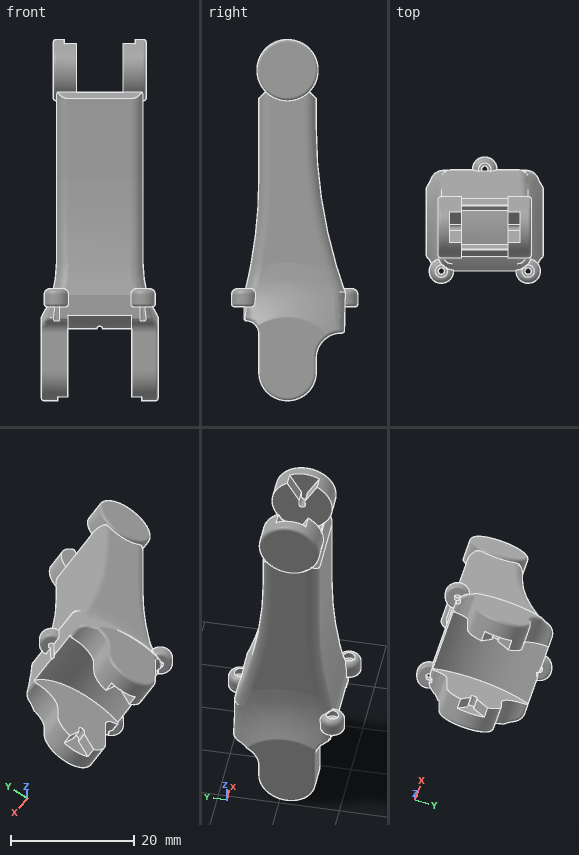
import cadquery as cq
import math

leg_radius = 4.7
disc_radius = 5.0
overall_height = 58.65
lower_pivot_z = leg_radius
upper_pivot_z = overall_height - disc_radius
leg_outer_x = 9.5
leg_inner_x = 5.15
disc_outer_x = 7.55
disc_inner_x = 3.75
edge_fillet = 0.5
tolerance = 0.005

neck_half_x = 7.05
neck_half_y = 4.7
neck_top_z = 50.1
neck_chamfer = 1.05
corner_fillet = 2.0
rear_y = 9.4
rear_taper = 0.1
rear_bottom_z = 10.95
rear_flare_start_z = 44.3
rear_flare_end_z = 17.6
rear_notch_radius = 4.0
front_y = 7.1
front_flare_start_z = 35.8
front_flare_end_z = 17.1
front_notch_radius = 2.0
front_bottom_z = 12.95

flare_inner_radius = 8.9
flare_outer_radius = 17.7

crotch_radius = 11.6
pocket_half_y = 2.75
pocket_floor_radius = 14.65

slot_hole_diameter = 1.0
slot_half_angle = 30.0
upper_slot_depth = 2.0
lower_slot_depth = 1.65
slot_straight = 0.95

knob_diameter = 4.0
knob_bottom_z = 15.25
knob_height = 3.0
knob_top_z = knob_bottom_z + knob_height
knob_top_fillet = 1.0
knob_bottom_fillet = 0.5
knob_bore_diameter = 1.0
knob_counterbore_diameter = 2.0
knob_counterbore_depth = 1.2
front_knob_x = 7.05
front_knob_y = -7.1
rear_knob_y = 9.45


def x_cylinder(radius, x_from, x_to, z):
    """Cylinder along X, centred on Y = 0 at height z."""
    return cq.Workplane("YZ", origin=(x_from, 0, z)).circle(radius).extrude(x_to - x_from)


def flare_middle(y_neck, z_neck, y_end, z_end):
    """Middle point of an arc that leaves the straight neck tangentially and widens downwards."""
    drop = z_neck - z_end
    widening = y_end - y_neck
    radius = (drop**2 + widening**2) / (2 * widening)
    half_angle = math.asin(drop / abs(radius)) / 2
    return (
        y_neck + radius * (1 - math.cos(half_angle)),
        z_neck - abs(radius) * math.sin(half_angle),
    )


def side_outline():
    rear_middle = flare_middle(neck_half_y, rear_flare_start_z, rear_y, rear_flare_end_z)
    front_middle = flare_middle(-neck_half_y, front_flare_start_z, -front_y, front_flare_end_z)
    return (
        cq.Workplane("YZ")
        .moveTo(-neck_half_y, neck_top_z)
        .lineTo(neck_half_y, neck_top_z)
        .lineTo(neck_half_y, rear_flare_start_z)
        .threePointArc(rear_middle, (rear_y, rear_flare_end_z))
        .lineTo(rear_y - rear_taper, rear_bottom_z)
        .lineTo(leg_radius + rear_notch_radius, rear_bottom_z)
        .tangentArcPoint((leg_radius, rear_bottom_z - rear_notch_radius), relative=False)
        .lineTo(leg_radius, lower_pivot_z)
        .threePointArc((0, 0), (-leg_radius, lower_pivot_z))
        .lineTo(-leg_radius, front_bottom_z - front_notch_radius)
        .tangentArcPoint((-leg_radius - front_notch_radius, front_bottom_z), relative=False)
        .lineTo(-front_y, front_bottom_z)
        .lineTo(-front_y, front_flare_end_z)
        .threePointArc(front_middle, (-neck_half_y, front_flare_start_z))
        .close()
    )


def side_envelope():
    """Solid of revolution about the lower pivot that narrows from the legs to the neck."""
    reach = overall_height
    run = flare_outer_radius - flare_inner_radius
    rise = leg_outer_x - neck_half_x
    arc_radius = (run**2 + rise**2) / (2 * rise)
    half_angle = math.asin(run / arc_radius) / 2
    middle_z = flare_outer_radius - arc_radius * math.sin(half_angle)
    middle_x = neck_half_x + arc_radius * (1 - math.cos(half_angle))
    half = (
        cq.Workplane("XZ", origin=(0, 0, lower_pivot_z))
        .moveTo(0, 0)
        .lineTo(leg_outer_x, 0)
        .lineTo(leg_outer_x, flare_inner_radius)
        .threePointArc((middle_x, middle_z), (neck_half_x, flare_outer_radius))
        .lineTo(neck_half_x, reach)
        .lineTo(0, reach)
        .close()
        .revolve(360, (0, 0, 0), (1, 0, 0))
    )
    return half.union(half.mirror("YZ"))


def is_shaft_corner(edge):
    """Long edges between the flat sides of the shaft and its front and rear faces."""
    centre = edge.Center()
    crosses_body = edge.BoundingBox().ylen > neck_half_y
    beside_body = abs(centre.x) >= neck_half_x - tolerance
    return beside_body and not crosses_body and front_bottom_z + edge_fillet < centre.z < neck_top_z


def is_leg_rim(edge):
    """Outer rims of the legs, with the short edges that lead from them under the flare."""
    box = edge.BoundingBox()
    one_sided = box.xmin * box.xmax > 0
    beside_body = min(abs(box.xmin), abs(box.xmax)) > neck_half_x + corner_fillet - 2 * edge_fillet
    return one_sided and beside_body and box.zmax < flare_inner_radius + lower_pivot_z + tolerance


def link_form():
    """Shaft, flare and legs in one rounded piece, before any cut."""
    form = side_outline().extrude(leg_outer_x, both=True).intersect(side_envelope())
    form = form.edges().filter(is_shaft_corner).fillet(corner_fillet)
    return form.edges().filter(is_leg_rim).fillet(edge_fillet)


def neck_chamfer_cutters():
    """Wedges that bevel the front and rear edges of the neck top."""
    wedge = (
        cq.Workplane("YZ")
        .moveTo(neck_half_y, neck_top_z)
        .lineTo(neck_half_y - neck_chamfer, neck_top_z)
        .lineTo(neck_half_y, neck_top_z - neck_chamfer)
        .close()
        .extrude(neck_half_x, both=True)
    )
    return wedge.union(wedge.mirror("XZ"))


def disc():
    """Upper hinge disc on the +X side."""
    blank = x_cylinder(disc_radius, disc_inner_x, disc_outer_x, upper_pivot_z)
    return blank.faces(">X").edges().fillet(edge_fillet)


def snap_slot(inner_x, depth, pivot_z, direction):
    """Round pivot seat on the +X side with a V mouth that opens upwards (1) or downwards (-1)."""
    seat_radius = slot_hole_diameter / 2
    mouth_start = slot_straight
    mouth_end = 2 * disc_radius
    mouth_half = seat_radius + (mouth_end - mouth_start) * math.tan(math.radians(slot_half_angle))
    mouth = (
        cq.Workplane("YZ", origin=(inner_x, 0, pivot_z))
        .moveTo(-seat_radius, 0)
        .lineTo(-seat_radius, direction * mouth_start)
        .lineTo(-mouth_half, direction * mouth_end)
        .lineTo(mouth_half, direction * mouth_end)
        .lineTo(seat_radius, direction * mouth_start)
        .lineTo(seat_radius, 0)
        .close()
        .extrude(depth)
    )
    return mouth.union(x_cylinder(seat_radius, inner_x, inner_x + depth, pivot_z))


def pocket():
    """Deep pocket between the discs; its floor runs parallel to the crotch."""
    column = cq.Workplane("XY").rect(2 * disc_inner_x, 2 * pocket_half_y).extrude(upper_pivot_z)
    return column.cut(x_cylinder(pocket_floor_radius, -disc_inner_x, disc_inner_x, lower_pivot_z))


def z_cylinder(diameter, x, y, z_from, z_to):
    return cq.Workplane("XY", origin=(x, y, z_from)).circle(diameter / 2).extrude(z_to - z_from)


def knob_form(x, y):
    """Solid round knob without its bore."""
    form = z_cylinder(knob_diameter, x, y, knob_bottom_z, knob_top_z)
    form = form.faces(">Z").edges().fillet(knob_top_fillet - tolerance)
    return form.faces("<Z").edges().fillet(knob_bottom_fillet)


def cord_bore(x, y):
    """Cord hole along Z with a counterbore at the knob top."""
    bore = z_cylinder(knob_bore_diameter, x, y, 0, knob_top_z)
    counterbore_z = knob_top_z - knob_counterbore_depth
    return bore.union(z_cylinder(knob_counterbore_diameter, x, y, counterbore_z, knob_top_z))


def link():
    body = link_form().cut(neck_chamfer_cutters())
    for mirrored in (False, True):
        hinge_disc = disc()
        body = body.union(hinge_disc.mirror("YZ") if mirrored else hinge_disc)
    body = body.union(knob_form(0, rear_knob_y))
    body = body.cut(x_cylinder(crotch_radius, -leg_inner_x, leg_inner_x, lower_pivot_z))
    body = body.cut(x_cylinder(disc_radius, -disc_inner_x, disc_inner_x, upper_pivot_z))
    body = body.cut(pocket())
    for slot in (
        snap_slot(disc_inner_x, upper_slot_depth, upper_pivot_z, 1),
        snap_slot(leg_inner_x, lower_slot_depth, lower_pivot_z, -1),
    ):
        body = body.cut(slot).cut(slot.mirror("YZ"))
    body = body.cut(cord_bore(0, rear_knob_y))
    for side in (-1, 1):
        x = side * front_knob_x
        body = body.cut(knob_form(x, front_knob_y)).cut(cord_bore(x, front_knob_y))
    return body


def front_knob(side):
    x = side * front_knob_x
    return knob_form(x, front_knob_y).cut(cord_bore(x, front_knob_y))


link_body = link()
front_knobs = [front_knob(side) for side in (-1, 1)]
result = cq.Compound.makeCompound([*link_body.vals(), *[knob.val() for knob in front_knobs]])